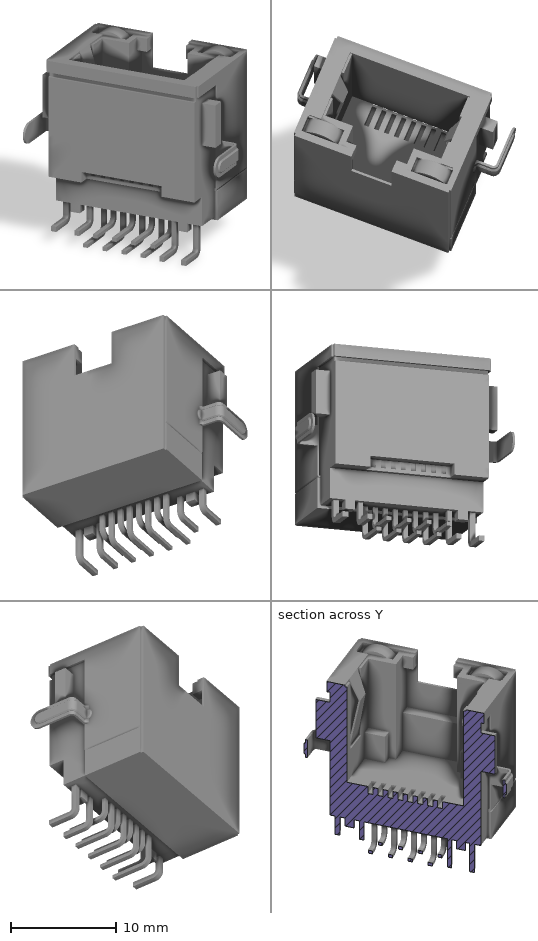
import cadquery as cq
import math


shield_half_width = 8.05
shield_depth = 11.05
shield_height = 15.09
sheet = 0.17
back_sheet = 0.23
corner_step = 0.3
wall_front = 4.3
lower_wall_front = 4.35
rim_bottom = 13.9
seam_top = 3.22
seam_bottom = 2.99

side_gap_depth = 4.15

housing_half_width = 7.75
housing_bottom = 0.3
groove_bottom = 13.45
groove_depth = 0.31
foot_front = 1.64
apron_bottom = 3.28
window_half_width = 4.23
window_top = 4.35
post_half_span = 9.17
post_depth = 1.22
post_bottom = 8.53
post_top = 12.85
peg_offset = 5.69
peg_size = 0.98
peg_bottom = -0.6

cavity_floor = window_top
cavity_half_width = 5.93
cavity_front = 1.15
cavity_back = 7.99
key_half_width = 3.11
key_back = 9.73
key_mouth_half_width = 2.05
key_mouth_bottom = 13.6
key_ledge_top = 8.6
back_cut_bottom = 11.55
opening_half_width = 6.16
opening_back = 8.53
pad_width = 2.1
pad_depth = 0.98
pad_top = 7.26

light_offset = 5.58
light_length = 3.45
light_width = 1.45
light_center_y = 9.45
light_dome_height = 0.93
light_top = 15.35
light_gap = 0.15
light_frame_half_width = 7.37
light_frame_back = 10.33

finger_center_y = 4.69
finger_root_width = 2.05
finger_tip_width = 1.3
finger_reach = 0.98
finger_drop = 2.4
finger_return = 5.19
finger_thickness = 0.17
finger_slot_width = 2.8
finger_bottom = shield_height - finger_drop - finger_return

contact_count = 8
pitch = 1.02
contact_width = 0.48
contact_thickness = 0.37
contact_back = 3.49
contact_bend_radius = 0.65
contact_bend_z = 4.03
contact_recess = 0.05
spring_thickness = 0.2
lead_end = -0.5
contact_leg_back = 3.7
contact_lead_bend = 0.52
high_contact_bottom = -1.95
low_contact_bottom = -3.07
light_leg_back = 2.64
light_leg_thickness = 0.52
light_lead_bend = 0.3
high_light_bottom = -2.01
low_light_bottom = -3.13
outer_light_lead_width = 0.55
inner_light_lead_width = 0.48

clip_half_span = 10.2
clip_thickness = 0.23
clip_inner_bend = 0.3
clip_back = 4.5
clip_front = -0.45
clip_center_z = 7.14
clip_height = 2.03
bead_thickness = 0.17
bead_height = 1.29
bead_front = 0.05
bead_chamfer = 0.12
flare_back = 4.83
flare_width = 0.25
tongue_back = 5.2

root_overlap = 0.17
round_end_margin = 0.002
diagonal = math.sqrt(0.5)


def block(x0, x1, y0, y1, z0, z1):
    return cq.Workplane("XY").box(x1 - x0, y1 - y0, z1 - z0, centered=False).translate((x0, y0, z0))


def centered_block(half_width, y0, y1, z0, z1):
    return block(-half_width, half_width, y0, y1, z0, z1)


def both_sides(solid):
    return solid.union(solid.mirror("YZ"))


def make_shell():
    """Shield and housing as one block, before the plug cavity is cut."""
    housing = centered_block(housing_half_width, 0, wall_front, apron_bottom, rim_bottom)
    housing = housing.union(
        centered_block(housing_half_width, foot_front, lower_wall_front, housing_bottom, apron_bottom))
    rim = centered_block(shield_half_width, 0, wall_front, rim_bottom, shield_height)
    upper = centered_block(shield_half_width, wall_front, shield_depth, seam_top, shield_height)
    lower = centered_block(shield_half_width, lower_wall_front, shield_depth, 0, seam_bottom)
    seam = (cq.Workplane("XZ", origin=(0, wall_front, 0))
            .polyline([(-shield_half_width, seam_top), (shield_half_width, seam_top),
                       (shield_half_width - sheet, seam_bottom), (sheet - shield_half_width, seam_bottom)])
            .close().extrude(wall_front - shield_depth))
    body = housing.union(rim).union(upper).union(lower).union(seam)

    front_corner = block(shield_half_width - sheet, shield_half_width, 0, corner_step, rim_bottom, shield_height)
    back_corner = block(shield_half_width - sheet, shield_half_width,
                        shield_depth - corner_step, shield_depth, 0, shield_height)
    body = body.cut(both_sides(front_corner)).cut(both_sides(back_corner))

    groove = centered_block(housing_half_width, 0, groove_depth, groove_bottom, rim_bottom)
    window = centered_block(window_half_width, 0, cavity_front, apron_bottom, window_top)
    side_gap = block(housing_half_width, shield_half_width - sheet, wall_front, wall_front + side_gap_depth,
                     seam_top, rim_bottom)
    return body.cut(groove).cut(window).cut(both_sides(side_gap))


def make_cavity():
    """Plug cavity, key slot and the opening in the sheet above them."""
    plug = centered_block(cavity_half_width, cavity_front, cavity_back, cavity_floor, shield_height)
    pad = block(cavity_half_width - pad_width, cavity_half_width,
                cavity_back - pad_depth, cavity_back, cavity_floor, pad_top)
    plug = plug.cut(both_sides(pad))
    back_wall = shield_depth - back_sheet
    key = centered_block(key_half_width, cavity_back, key_back, cavity_floor, shield_height)
    key_pocket = centered_block(key_half_width, key_back, back_wall, key_ledge_top, key_mouth_bottom)
    key_mouth = centered_block(key_mouth_half_width, key_back, back_wall, key_mouth_bottom, shield_height)
    back_cut = centered_block(key_mouth_half_width, back_wall, shield_depth, back_cut_bottom, shield_height)
    opening = centered_block(opening_half_width, cavity_front, opening_back, shield_height - sheet, shield_height)
    light_frame = centered_block(light_frame_half_width, opening_back, light_frame_back,
                                 shield_height - sheet, shield_height)
    finger_slot = centered_block(opening_half_width, finger_center_y - finger_slot_width / 2,
                                 finger_center_y + finger_slot_width / 2,
                                 finger_bottom, shield_height)
    cavity = plug
    for cut in (key, key_pocket, key_mouth, back_cut, opening, light_frame, finger_slot):
        cavity = cavity.union(cut)
    return cavity


def make_light_pocket():
    """Recess around one indicator light."""
    half_length = light_length / 2 + light_gap
    half_width = light_width / 2
    return block(light_offset - half_length, light_offset + half_length,
                 light_center_y - half_width, light_center_y + half_width + light_gap,
                 light_top - light_dome_height, shield_height)


def make_light():
    """Indicator lens with a domed top."""
    half_length = light_length / 2
    shoulder = light_top - light_dome_height
    bottom = shoulder - root_overlap
    return (cq.Workplane("XZ", origin=(light_offset, light_center_y + light_width / 2, 0))
            .moveTo(-half_length, bottom).lineTo(-half_length, shoulder)
            .threePointArc((0, light_top), (half_length, shoulder))
            .lineTo(half_length, bottom).close().extrude(light_width))


def make_finger():
    """Folded spring: slopes in from the rim, then back out to the wall below."""
    wall = opening_half_width
    tip = wall - finger_reach
    fold_z = shield_height - finger_drop
    fold_offset = finger_drop * finger_thickness / finger_reach
    return_offset = finger_return * finger_thickness / finger_reach
    plan = (cq.Workplane("XY", origin=(0, finger_center_y, cavity_floor))
            .polyline([(wall, -finger_root_width / 2), (tip, -finger_tip_width / 2),
                       (tip, finger_tip_width / 2), (wall, finger_root_width / 2)])
            .close().extrude(shield_height - cavity_floor))
    profile = (cq.Workplane("XZ", origin=(0, finger_center_y + finger_root_width, 0))
               .polyline([(wall, shield_height), (tip, fold_z), (wall, finger_bottom),
                          (wall, finger_bottom + return_offset),
                          (tip + finger_thickness, fold_z), (wall, shield_height - fold_offset)])
               .close().extrude(2 * finger_root_width))
    return plan.intersect(profile)


def make_spring_contact(x):
    """Flat contact along the cavity floor, curled up behind the window."""
    inner = contact_bend_radius - spring_thickness
    front = cavity_front + contact_recess
    center_y = front + contact_bend_radius
    bottom = contact_bend_z - contact_bend_radius
    return (cq.Workplane("YZ", origin=(x - contact_width / 2, 0, 0))
            .moveTo(contact_back, bottom).lineTo(center_y, bottom)
            .threePointArc((center_y - contact_bend_radius * diagonal,
                            contact_bend_z - contact_bend_radius * diagonal),
                           (front, contact_bend_z))
            .lineTo(front, cavity_floor)
            .lineTo(front + spring_thickness, cavity_floor)
            .lineTo(front + spring_thickness, contact_bend_z)
            .threePointArc((center_y - inner * diagonal, contact_bend_z - inner * diagonal),
                           (center_y, bottom + spring_thickness))
            .lineTo(contact_back, bottom + spring_thickness)
            .close().extrude(contact_width))


def make_contact_slot(x):
    """Groove in the cavity floor above one spring contact."""
    half = contact_width / 2
    bottom = contact_bend_z - contact_bend_radius + spring_thickness
    return block(x - half, x + half, cavity_front, contact_back, bottom, cavity_floor)


def make_lead(x, width, back, thickness, inner_bend, bottom):
    """Lead dropping from the foot and bending forward to the board."""
    outer_bend = inner_bend + thickness
    leg_top = housing_bottom + root_overlap
    center_y = back - outer_bend
    center_z = bottom + outer_bend
    return (cq.Workplane("YZ", origin=(x - width / 2, 0, 0))
            .moveTo(back, leg_top).lineTo(back, center_z)
            .threePointArc((center_y + outer_bend * diagonal, center_z - outer_bend * diagonal),
                           (center_y, bottom))
            .lineTo(lead_end, bottom).lineTo(lead_end, bottom + thickness)
            .lineTo(center_y, bottom + thickness)
            .threePointArc((center_y + inner_bend * diagonal, center_z - inner_bend * diagonal),
                           (back - thickness, center_z))
            .lineTo(back - thickness, leg_top).close().extrude(width))


def bent_strip(half_span, back, front, thickness, inner_bend, height, start):
    """L-shaped strip: out from the side wall, then forward with a round end."""
    outer_bend = inner_bend + thickness
    center_x = half_span - outer_bend
    center_y = back - outer_bend
    strip = (cq.Workplane("XY", origin=(0, 0, clip_center_z - height / 2))
             .moveTo(start, back).lineTo(center_x, back)
             .threePointArc((center_x + outer_bend * diagonal, center_y + outer_bend * diagonal),
                            (half_span, center_y))
             .lineTo(half_span, front).lineTo(half_span - thickness, front)
             .lineTo(half_span - thickness, center_y)
             .threePointArc((center_x + inner_bend * diagonal, center_y + inner_bend * diagonal),
                            (center_x, back - thickness))
             .lineTo(start, back - thickness).close().extrude(height))
    return strip.edges("|X and <Y").fillet(height / 2 - round_end_margin)


def make_clip():
    """Board clip with a raised bead, rooted on the shield wall by a flare and a round tongue."""
    wall = shield_half_width - root_overlap
    strip = bent_strip(clip_half_span, clip_back, clip_front, clip_thickness, clip_inner_bend, clip_height,
                       shield_half_width)
    bead = bent_strip(clip_half_span + bead_thickness, clip_back + bead_thickness, bead_front, bead_thickness,
                      clip_inner_bend + clip_thickness, bead_height, wall)
    bead = bead.faces(">X").edges("not |Z").chamfer(bead_chamfer)
    flare = (cq.Workplane("XY", origin=(0, 0, clip_center_z - clip_height / 2))
             .polyline([(wall, clip_back), (shield_half_width + flare_width, clip_back),
                        (shield_half_width, flare_back), (wall, flare_back)])
             .close().extrude(clip_height))
    tongue = block(wall, shield_half_width + bead_thickness, clip_back, tongue_back,
                   clip_center_z - bead_height / 2, clip_center_z + bead_height / 2)
    tongue = tongue.edges("|X and >Y").fillet(bead_height / 2 - round_end_margin)
    tongue = tongue.faces(">X").edges("not <Y").chamfer(bead_chamfer)
    return strip.union(bead).union(flare).union(tongue)


def make_post():
    """Rectangular rib standing out from the side of the housing."""
    return block(housing_half_width - root_overlap, post_half_span, foot_front, foot_front + post_depth,
                 post_bottom, post_top)


def make_peg():
    """Square locating peg under the foot."""
    half = peg_size / 2
    return block(peg_offset - half, peg_offset + half, foot_front, foot_front + peg_size,
                 peg_bottom, housing_bottom + root_overlap)


contact_places = [(i - (contact_count - 1) / 2) * pitch for i in range(contact_count)]
light_leads = [
    (-6.93, outer_light_lead_width, high_light_bottom),
    (-4.46, inner_light_lead_width, high_light_bottom),
    (4.52, inner_light_lead_width, low_light_bottom),
    (6.83, outer_light_lead_width, low_light_bottom),
]

part = make_shell().cut(make_cavity())
part = part.cut(both_sides(make_light_pocket()))
for feature in (make_light(), make_finger(), make_clip(), make_post(), make_peg()):
    part = part.union(both_sides(feature))

for index, place in enumerate(contact_places):
    part = part.cut(make_contact_slot(place)).union(make_spring_contact(place))
    bottom = high_contact_bottom if index % 2 else low_contact_bottom
    part = part.union(make_lead(place, contact_width, contact_leg_back, contact_thickness,
                                contact_lead_bend, bottom))

for place, width, bottom in light_leads:
    part = part.union(make_lead(place, width, light_leg_back, light_leg_thickness, light_lead_bend, bottom))

result = part